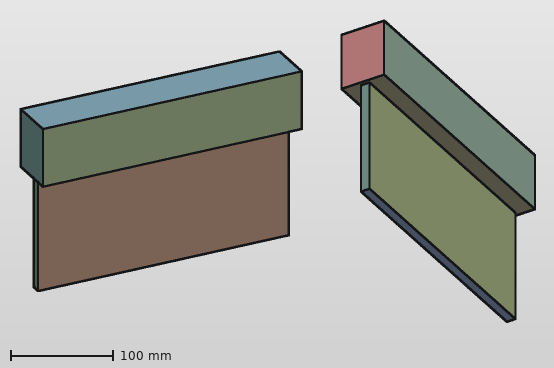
import cadquery as cq

total_height = 187.0

head_width = 49.0
head_length = 283.0
head_height = 63.0

blade_thickness = 10.0
blade_length = 274.0
blade_height = total_height - head_height


def make_head():
    """Rectangular bar whose underside rests on top of the blade."""
    return (
        cq.Workplane("XY")
        .workplane(offset=blade_height)
        .rect(head_width, head_length)
        .extrude(head_height)
    )


def make_blade():
    """Flat plate standing on Z = 0 and ending at the head's underside."""
    return cq.Workplane("XY").rect(blade_thickness, blade_length).extrude(blade_height)


head = make_head()
blade = make_blade()

result = cq.Compound.makeCompound([head.val(), blade.val()])